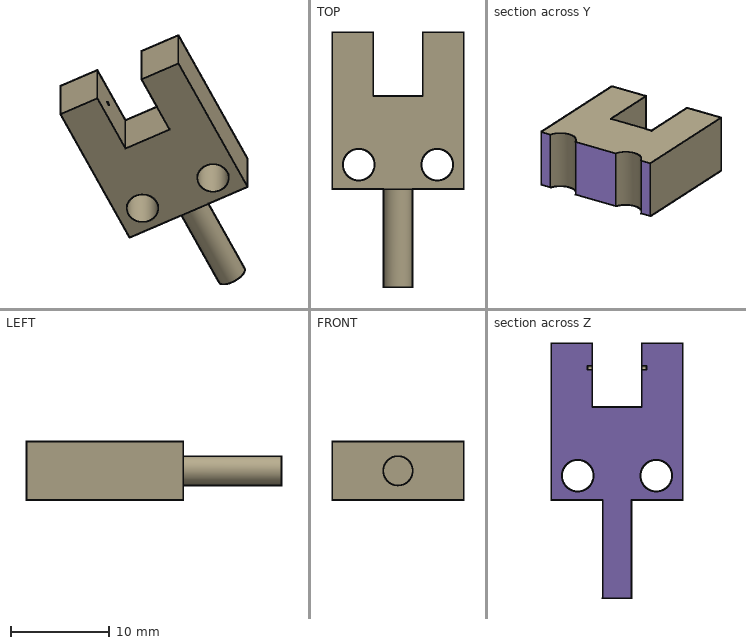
import cadquery as cq

body_width = 13.4
body_length = 16.0
body_height = 6.0

slot_width = 5.0
slot_depth = 6.5

mount_hole_diameter = 3.2
mount_hole_spacing = 8.0
mount_hole_from_cable_face = 2.5

cable_diameter = 3.0
cable_length = 10.0

aperture_diameter = 0.4
aperture_depth = 0.5
aperture_from_tip = 2.5

mid_height = body_height / 2


def make_body():
    """Block with its cable face on Y = 0 and its base on Z = 0."""
    return cq.Workplane("XY").box(
        body_width, body_length, body_height, centered=(True, False, False)
    )


def make_slot():
    """Full-height cutter for the gap between the two prongs."""
    return (
        cq.Workplane("XY")
        .box(slot_width, slot_depth, body_height, centered=(True, False, False))
        .translate((0, body_length - slot_depth, 0))
    )


def make_mount_holes():
    """Pair of vertical cutters, mirrored about X = 0."""
    half_spacing = mount_hole_spacing / 2
    centers = [(side * half_spacing, mount_hole_from_cable_face) for side in (-1, 1)]
    return (
        cq.Workplane("XY")
        .pushPoints(centers)
        .circle(mount_hole_diameter / 2)
        .extrude(body_height)
    )


def make_apertures():
    """Cutter on the optical axis, reaching a blind depth into both slot walls."""
    reach = slot_width / 2 + aperture_depth
    return (
        cq.Workplane("YZ", origin=(0, body_length - aperture_from_tip, mid_height))
        .circle(aperture_diameter / 2)
        .extrude(reach, both=True)
    )


def make_cable():
    """Round cable stub running toward -Y at mid height."""
    return (
        cq.Workplane("XZ", origin=(0, 0, mid_height))
        .circle(cable_diameter / 2)
        .extrude(cable_length)
    )


result = (
    make_body()
    .cut(make_slot())
    .cut(make_mount_holes())
    .cut(make_apertures())
    .union(make_cable())
)